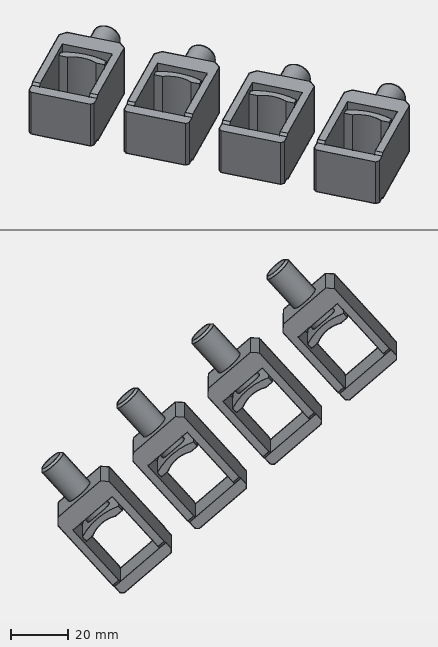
import cadquery as cq

clamp_count = 4
row_length = 129.0
frame_width = 24.0
clamp_pitch = (row_length - frame_width) / (clamp_count - 1)

frame_length = 36.0
frame_height = 20.0
side_wall = 2.8
rear_wall = 7.0
front_wall = 4.0
rear_chamfer = 2.2
front_chamfer = 1.0

bar_step = 0.9

screw_diameter = 10.0
screw_projection = 15.0
screw_chamfer = 0.9

plate_width = 16.8
plate_height = 19.1
plate_crown_y = -9.5
plate_rear_rise = 1.5
plate_crown_thickness = 2.3
plate_end_thickness = 2.0
plate_foot = 3.1


def make_frame():
    """Rectangular frame with four bevelled corners and an open window along Z."""
    half_width = frame_width / 2
    outline = [
        (half_width - rear_chamfer, 0),
        (half_width, -rear_chamfer),
        (half_width, front_chamfer - frame_length),
        (half_width - front_chamfer, -frame_length),
    ]
    mirrored = [(-x, y) for x, y in reversed(outline)]
    frame = cq.Workplane("XY").polyline(outline + mirrored).close().extrude(frame_height / 2, both=True)

    window_width = frame_width - 2 * side_wall
    window_length = frame_length - rear_wall - front_wall
    window_center_y = -rear_wall - window_length / 2
    window = cq.Workplane("XY").center(0, window_center_y).box(window_width, window_length, frame_height)
    return frame.cut(window)


def make_bar_relief():
    """Block above the front bar, with a ramp up to the side walls."""
    front = -frame_length
    ramp_foot = front + front_wall
    ramp_top = ramp_foot + bar_step
    top = frame_height / 2
    return (
        cq.Workplane("YZ")
        .polyline([(front, top), (ramp_top, top), (ramp_foot, top - bar_step), (front, top - bar_step)])
        .close()
        .extrude(frame_width / 2, both=True)
    )


def make_screw():
    """Round screw from its bevelled outer end to the middle of the pressure plate."""
    inner_end_y = plate_crown_y - plate_crown_thickness / 2
    return (
        cq.Workplane("XZ", origin=(0, inner_end_y, 0))
        .circle(screw_diameter / 2)
        .extrude(inner_end_y - screw_projection)
        .faces(">Y")
        .chamfer(screw_chamfer)
    )


def make_plate():
    """Arched plate: one arc at the rear, a shorter arc between two flat feet at the front."""
    half_width = plate_width / 2
    rear_end_y = plate_crown_y - plate_rear_rise
    foot_y = rear_end_y - plate_end_thickness
    arch_half_width = half_width - plate_foot
    return (
        cq.Workplane("XY")
        .moveTo(-half_width, rear_end_y)
        .threePointArc((0, plate_crown_y), (half_width, rear_end_y))
        .lineTo(half_width, foot_y)
        .lineTo(arch_half_width, foot_y)
        .threePointArc((0, plate_crown_y - plate_crown_thickness), (-arch_half_width, foot_y))
        .lineTo(-half_width, foot_y)
        .close()
        .extrude(plate_height / 2, both=True)
    )


def make_clamp():
    """Frame, screw and pressure plate as one solid."""
    relief = make_bar_relief()
    frame = make_frame().cut(relief).cut(relief.mirror("XY"))
    return frame.union(make_screw()).union(make_plate())


clamp = make_clamp().val()
first_x = -(clamp_count - 1) * clamp_pitch / 2
clamps = [clamp.translate(cq.Vector(first_x + i * clamp_pitch, 0, 0)) for i in range(clamp_count)]

result = cq.Compound.makeCompound(clamps)